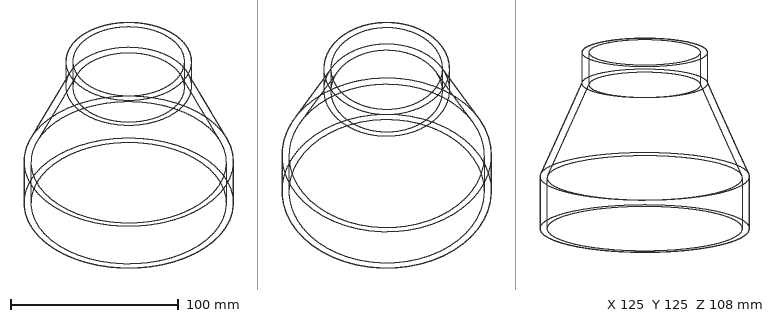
import math

import cadquery as cq

large_radius = 62.5
small_radius = 37.5
wall = 4.2

large_length = 32.0
cone_length = 57.0
small_length = 19.0

cone_base = large_length
cone_top = cone_base + cone_length
total_height = cone_top + small_length

cone_half_angle = math.atan2(large_radius - small_radius, cone_length)
bend_drop = wall * math.tan(cone_half_angle / 2)

wall_section = [
    (large_radius, 0),
    (large_radius, cone_base),
    (small_radius, cone_top),
    (small_radius, total_height),
    (small_radius - wall, total_height),
    (small_radius - wall, cone_top - bend_drop),
    (large_radius - wall, cone_base - bend_drop),
    (large_radius - wall, 0),
]

result = (
    cq.Workplane("XZ")
    .polyline(wall_section)
    .close()
    .revolve(360, (0, 0, 0), (0, 1, 0))
)